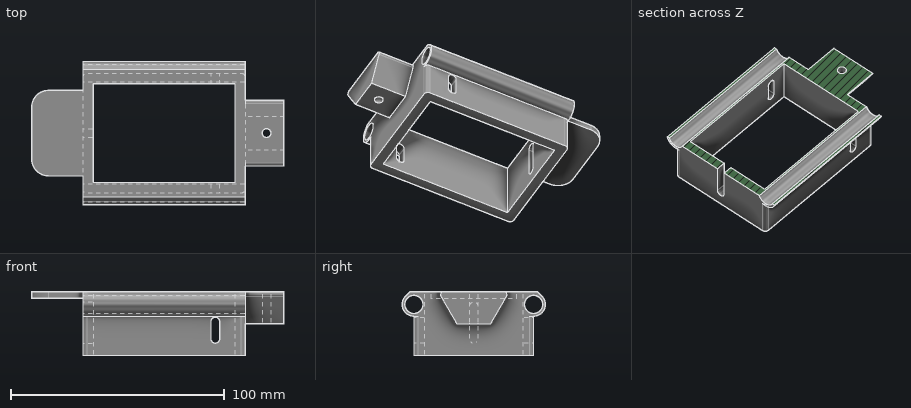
import cadquery as cq
import math

frame_length = 76.0
frame_width = 55.9
frame_height = 30.0
wall = 5.0
corner_radius = 2.0

tube_radius = 5.5
tube_bore = 8.4
tube_depth = 6.0

handle_length = 24.0
handle_width = 40.1
handle_thickness = 3.2
handle_radius = 8.0

dovetail_length = 118 - frame_length - handle_length
dovetail_width = 30.9
dovetail_height = 15.1
dovetail_round = 1.5
dovetail_angle = math.radians(30)
screw_hole = 4.0
screw_offset = 9.9

slot_width = 4.0
side_slot_top = 12.0
side_slot_bottom = 24.1
side_slot_offset = 14.0
end_slot_top = 5.0
end_slot_bottom = 24.2

half_length = frame_length / 2
half_width = frame_width / 2
tube_bottom = tube_depth + tube_radius


def make_frame():
    """Solid block: sharp corners beside the tubes, rounded corners below them."""
    upper = cq.Workplane("XY").rect(frame_length, frame_width).extrude(-tube_bottom)
    lower = (
        cq.Workplane("XY", origin=(0, 0, -tube_bottom))
        .rect(frame_length, frame_width)
        .extrude(tube_bottom - frame_height)
        .edges("|Z")
        .fillet(corner_radius)
    )
    return upper.union(lower)


def tube_plane(side):
    """YZ workplane at the -X end, centred on the tube of the given side (+1 or -1)."""
    return cq.Workplane("YZ", origin=(-half_length, side * half_width, -tube_depth))


def make_tube(side):
    """Round tube whose outer upper side runs at 45 degrees into the flat top."""
    tangent = tube_radius * math.sqrt(0.5)
    flat = tube_radius * math.sqrt(2) - tube_depth
    return (
        tube_plane(side)
        .moveTo(0, tube_depth)
        .lineTo(side * flat, tube_depth)
        .lineTo(side * tangent, tangent)
        .threePointArc((side * tangent, -tangent), (0, -tube_radius))
        .close()
        .extrude(frame_length)
    )


def make_handle():
    """Flat plate with rounded outer corners."""
    return (
        cq.Workplane("XY")
        .center(-half_length - handle_length / 2, 0)
        .rect(handle_length, handle_width)
        .extrude(-handle_thickness)
        .edges("|Z and <X")
        .fillet(handle_radius)
    )


def make_dovetail():
    """Block narrowing downwards, with rounded upper edges and a vertical screw hole."""
    corner_setback = dovetail_round / math.tan(math.pi / 4 - dovetail_angle / 2)
    top_half = dovetail_width / 2 - dovetail_round + corner_setback
    bottom_half = top_half - dovetail_height * math.tan(dovetail_angle)
    block = (
        cq.Workplane("YZ", origin=(half_length, 0, 0))
        .polyline([
            (-top_half, 0),
            (top_half, 0),
            (bottom_half, -dovetail_height),
            (-bottom_half, -dovetail_height),
        ])
        .close()
        .extrude(dovetail_length)
        .edges("|X and >Z")
        .fillet(dovetail_round)
    )
    hole = (
        cq.Workplane("XY")
        .center(half_length + screw_offset, 0)
        .circle(screw_hole / 2)
        .extrude(-dovetail_height)
    )
    return block.cut(hole)


def make_slot(plane, across, top, bottom, depth):
    """Vertical round-ended cutter between two depths below the top face."""
    return (
        plane.center(across, -(top + bottom) / 2)
        .slot2D(bottom - top, slot_width, 90)
        .extrude(depth)
    )


opening = (
    cq.Workplane("XY")
    .rect(frame_length - 2 * wall, frame_width - 2 * wall)
    .extrude(-frame_height)
)

side_slots = make_slot(
    cq.Workplane("XZ", origin=(0, half_width, 0)),
    half_length - side_slot_offset,
    side_slot_top,
    side_slot_bottom,
    frame_width,
)
end_slot = make_slot(
    cq.Workplane("YZ", origin=(-half_length, 0, 0)),
    0,
    end_slot_top,
    end_slot_bottom,
    wall,
)

result = make_frame().union(make_handle()).union(make_dovetail())
for side in (-1, 1):
    bore = tube_plane(side).circle(tube_bore / 2).extrude(frame_length)
    result = result.union(make_tube(side)).cut(bore)
result = result.cut(opening).cut(side_slots).cut(end_slot)